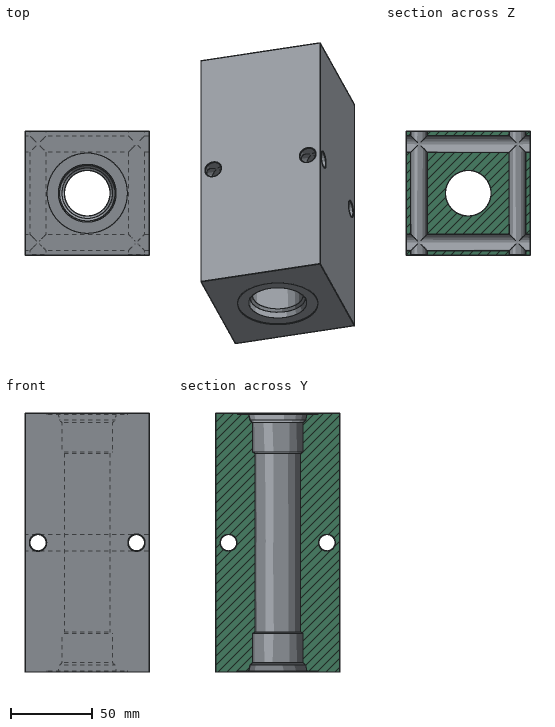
import cadquery as cq
import math

WIDTH = 76.2
HEIGHT = 158.75
EDGE_CHAMFER = 0.254

SPOTFACE_DIAMETER = 49.2
SPOTFACE_DEPTH = 0.7
SEAT_MOUTH_DIAMETER = 35.5
SEAT_HALF_ANGLE = 12.0
SEAT_DEPTH = 3.6
THREAD_DIAMETER = 30.9
THREAD_DEPTH = 23.0
PASSAGE_DIAMETER = 27.8
DRILL_HALF_ANGLE = 59.0

MOUNT_HOLE_DIAMETER = 9.9
MOUNT_HOLE_MOUTH_DIAMETER = 10.7
MOUNT_HOLE_SPACING = 60.325


def make_block():
    block = cq.Workplane("XY").box(WIDTH, WIDTH, HEIGHT)
    return block.edges().chamfer(EDGE_CHAMFER)


def make_port():
    """Revolved cutter for the port in the top face, reaching down to the middle of the block."""
    top = HEIGHT / 2
    spotface_radius = SPOTFACE_DIAMETER / 2
    mouth_radius = SEAT_MOUTH_DIAMETER / 2
    thread_radius = THREAD_DIAMETER / 2
    passage_radius = PASSAGE_DIAMETER / 2

    spotface_z = top - SPOTFACE_DEPTH
    seat_z = spotface_z - SEAT_DEPTH
    seat_radius = mouth_radius - SEAT_DEPTH * math.tan(math.radians(SEAT_HALF_ANGLE))
    lead_in_z = seat_z - (seat_radius - thread_radius)
    thread_z = spotface_z - THREAD_DEPTH
    drill_tip_height = (thread_radius - passage_radius) / math.tan(math.radians(DRILL_HALF_ANGLE))

    profile = [
        (0, top),
        (spotface_radius, top),
        (spotface_radius, spotface_z),
        (mouth_radius, spotface_z),
        (seat_radius, seat_z),
        (thread_radius, lead_in_z),
        (thread_radius, thread_z),
        (passage_radius, thread_z - drill_tip_height),
        (passage_radius, 0),
        (0, 0),
    ]
    return cq.Workplane("XZ").polyline(profile).close().revolve(360, (0, 0), (0, 1))


def make_mount_hole():
    """Cutter along Y through the full width, with a 45 degree countersink at each end."""
    half_width = WIDTH / 2
    hole_radius = MOUNT_HOLE_DIAMETER / 2
    mouth_radius = MOUNT_HOLE_MOUTH_DIAMETER / 2
    countersink_start = half_width - (mouth_radius - hole_radius)

    profile = [
        (0, -half_width),
        (mouth_radius, -half_width),
        (hole_radius, -countersink_start),
        (hole_radius, countersink_start),
        (mouth_radius, half_width),
        (0, half_width),
    ]
    return cq.Workplane("XY").polyline(profile).close().revolve(360, (0, 0), (0, 1))


def cut_ports(body):
    port = make_port()
    return body.cut(port).cut(port.mirror("XY"))


def cut_mount_holes(body):
    hole = make_mount_hole()
    for side in (-1, 1):
        hole_along_y = hole.translate((side * MOUNT_HOLE_SPACING / 2, 0, 0))
        hole_along_x = hole_along_y.rotate((0, 0, 0), (0, 0, 1), 90)
        body = body.cut(hole_along_y).cut(hole_along_x)
    return body


result = cut_mount_holes(cut_ports(make_block()))